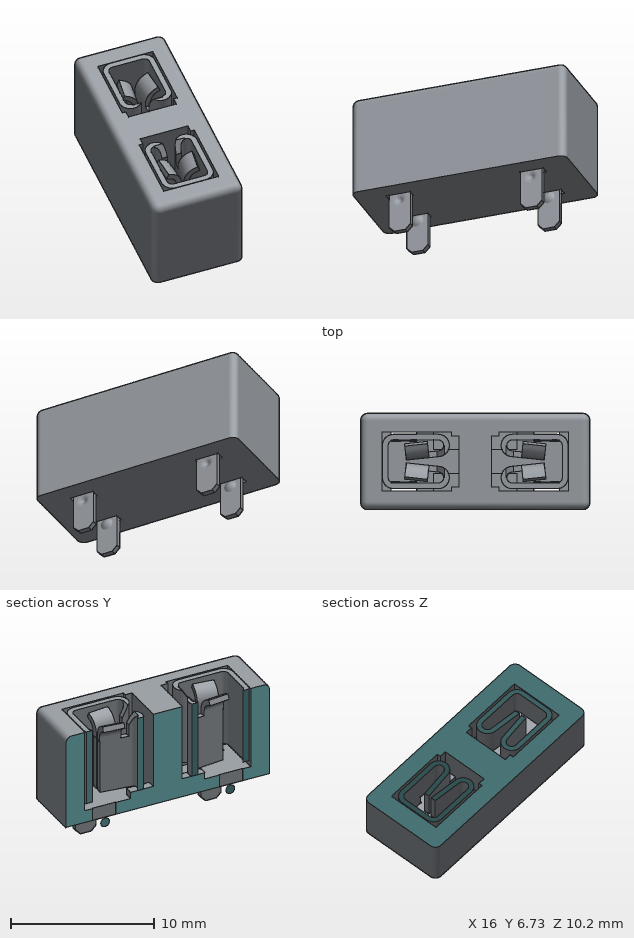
import cadquery as cq
import math


overall_height = 10.16

housing_length = 16.0
housing_width = 6.73
housing_height = 7.36
edge_radius = 0.508

cavity_back_x = -6.5
cavity_step_x = -1.67
cavity_front_x = -1.14
cavity_half_width = 2.05
cavity_front_half_width = 1.78
floor_z = 1.0

pad_back_x = -2.92
pad_inner_y = 0.845
pad_top_z = 1.5

sheet = 0.4
bend_inner_radius = 0.38
bend_outer_radius = bend_inner_radius + sheet
clip_back_x = -6.47
clip_half_width = 1.9
clip_top_z = housing_height
clip_bottom_z = pad_top_z
curl_x = -2.584
curl_y = clip_half_width - bend_outer_radius

arm_angle = math.radians(6.2)
arm_tip_x = -4.81
arm_top_z = 5.6
ramp_top_x = -2.135
ramp_bottom_x = -2.67
ramp_bottom_z = 6.5

tab_width = 1.6
tab_flare = math.radians(66)
tab_radius = 1.18
tab_flat = 0.31
tab_top_z = 7.15
tab_rise = tab_radius * math.sin(tab_flare) + tab_flat * math.cos(tab_flare)
tab_bend_z = tab_top_z - tab_rise

tail_x = -4.91
tail_width = tab_width
tail_end_z = housing_height - overall_height
tail_chamfer = 0.38
tail_slot_end_x = (-5.87, -4.085)
tail_slot_clearance = 0.08

dimple_z = -0.41
dimple_rim_radius = 0.48
dimple_depth = 0.17
dimple_dome_radius = 0.27
dimple_slope = 2 * math.atan(dimple_depth / dimple_rim_radius)


def block(x_range, y_range, z_range):
    """Axis-aligned box between pairs of coordinates."""
    return cq.Workplane("XY").box(
        x_range[1] - x_range[0],
        y_range[1] - y_range[0],
        z_range[1] - z_range[0],
        centered=False,
    ).translate((x_range[0], y_range[0], z_range[0]))


def with_y_mirror(shape):
    """Shape joined with its reflection across the XZ plane."""
    return shape.union(shape.mirror("XZ"))


def make_cavity():
    """Stepped pocket with corner pads and the two tail slots, as a solid to cut away."""
    z_range = (floor_z, housing_height)
    cavity = block(
        (cavity_back_x, cavity_step_x), (-cavity_half_width, cavity_half_width), z_range
    ).union(
        block(
            (cavity_back_x, cavity_front_x),
            (-cavity_front_half_width, cavity_front_half_width),
            z_range,
        )
    )
    pad = block(
        (pad_back_x, cavity_front_x), (pad_inner_y, cavity_half_width), (floor_z, pad_top_z)
    )
    slot = block(
        tail_slot_end_x,
        (clip_half_width - sheet - tail_slot_clearance, cavity_half_width),
        (0, floor_z),
    )
    return cavity.cut(with_y_mirror(pad)).union(with_y_mirror(slot))


def make_housing():
    body = cq.Workplane("XY").box(
        housing_length, housing_width, housing_height, centered=(True, True, False)
    )
    body = body.edges("|Z or >Z").fillet(edge_radius)
    cavity = make_cavity()
    return body.cut(cavity).cut(cavity.mirror("YZ"))


def curl_point(radius, angle):
    """Point on a circle about the curl's axis."""
    return (curl_x + radius * math.cos(angle), curl_y + radius * math.sin(angle))


def arm_end(radius):
    """Point at the arm's tip on the face that continues the curl of this radius."""
    start = curl_point(radius, arm_angle - math.pi / 2)
    return (arm_tip_x, start[1] - (start[0] - arm_tip_x) * math.tan(arm_angle))


def make_strip():
    """Half of the bent sheet, from the middle of the back wall to the arm's tip."""
    curl_stop = arm_angle - math.pi / 2
    corner_x = clip_back_x + bend_outer_radius
    diagonal = math.sqrt(0.5)
    outer_mid = (corner_x - bend_outer_radius * diagonal, curl_y + bend_outer_radius * diagonal)
    inner_mid = (corner_x - bend_inner_radius * diagonal, curl_y + bend_inner_radius * diagonal)
    return (
        cq.Workplane("XY")
        .workplane(offset=clip_bottom_z)
        .moveTo(clip_back_x, 0)
        .lineTo(clip_back_x, curl_y)
        .threePointArc(outer_mid, (corner_x, clip_half_width))
        .lineTo(curl_x, clip_half_width)
        .threePointArc(
            curl_point(bend_outer_radius, 0), curl_point(bend_outer_radius, curl_stop)
        )
        .lineTo(*arm_end(bend_outer_radius))
        .lineTo(*arm_end(bend_inner_radius))
        .lineTo(*curl_point(bend_inner_radius, curl_stop))
        .threePointArc(
            curl_point(bend_inner_radius, 0),
            curl_point(bend_inner_radius, math.pi / 2),
        )
        .lineTo(corner_x, clip_half_width - sheet)
        .threePointArc(inner_mid, (clip_back_x + sheet, curl_y))
        .lineTo(clip_back_x + sheet, 0)
        .close()
        .extrude(clip_top_z - clip_bottom_z)
    )


def make_arm_relief():
    """Space above the arm: a ramp down from the curl, a step, then level to the arm's tip."""
    clear_x = arm_tip_x - sheet
    return (
        cq.Workplane("XZ")
        .polyline([
            (ramp_top_x, clip_top_z),
            (ramp_bottom_x, ramp_bottom_z),
            (ramp_bottom_x, arm_top_z),
            (clear_x, arm_top_z),
            (clear_x, clip_top_z),
        ])
        .close()
        .extrude(-curl_y)
    )


def tab_plane():
    """Plane across the arm at its tip: local x points outward, local y up."""
    tip_x, tip_y = arm_end(bend_outer_radius)
    return cq.Plane(
        origin=(tip_x, tip_y, 0),
        xDir=(-math.sin(arm_angle), math.cos(arm_angle), 0),
        normal=(math.cos(arm_angle), math.sin(arm_angle), 0),
    )


def tab_arc_point(radius, angle):
    """Point on the tab's bend, at the given turn from vertical."""
    return (tab_radius - radius * math.cos(angle), tab_bend_z + radius * math.sin(angle))


def make_tab():
    """Tab that rises from the arm, curves outward and ends in a short flat."""
    inner_radius = tab_radius - sheet
    run = tab_flat * math.sin(tab_flare)
    rise = tab_flat * math.cos(tab_flare)
    face_end = tab_arc_point(tab_radius, tab_flare)
    back_end = tab_arc_point(inner_radius, tab_flare)
    return (
        cq.Workplane(tab_plane())
        .moveTo(0, arm_top_z)
        .lineTo(0, tab_bend_z)
        .threePointArc(tab_arc_point(tab_radius, tab_flare / 2), face_end)
        .lineTo(face_end[0] + run, face_end[1] + rise)
        .lineTo(back_end[0] + run, back_end[1] + rise)
        .lineTo(*back_end)
        .threePointArc(tab_arc_point(inner_radius, tab_flare / 2), (sheet, tab_bend_z))
        .lineTo(sheet, arm_top_z)
        .close()
        .extrude(tab_width)
    )


def dimple_plug(face_y, dome_radius):
    """Round plug that swells inward from a sheet face, with a dome of the given radius."""
    rim_bend = dimple_rim_radius / math.sin(dimple_slope) - dome_radius

    def rim_point(angle):
        return (
            dimple_rim_radius - rim_bend * math.sin(angle),
            -rim_bend * (1 - math.cos(angle)),
        )

    def dome_point(angle):
        return (
            dome_radius * math.sin(angle),
            dome_radius * (1 - math.cos(angle)) - dimple_depth,
        )

    return (
        cq.Workplane("XY", origin=(tail_x, face_y, dimple_z))
        .lineTo(dimple_rim_radius, 0)
        .threePointArc(rim_point(dimple_slope / 2), dome_point(dimple_slope))
        .threePointArc(dome_point(dimple_slope / 2), (0, -dimple_depth))
        .close()
        .revolve(360, (0, 0, 0), (0, 1, 0))
    )


def make_tail():
    """Solder tail with a chamfered end and a pressed dimple."""
    inner_y = clip_half_width - sheet
    tail = block(
        (tail_x - tail_width / 2, tail_x + tail_width / 2),
        (inner_y, clip_half_width),
        (tail_end_z, clip_bottom_z),
    )
    tail = tail.edges("|Y and <Z").chamfer(tail_chamfer)
    bump = dimple_plug(inner_y, dimple_dome_radius + sheet)
    recess = dimple_plug(clip_half_width, dimple_dome_radius)
    return tail.union(bump).cut(recess)


def make_clip():
    half = make_strip().cut(make_arm_relief())
    half = half.union(make_tab()).union(make_tail())
    return with_y_mirror(half)


housing = make_housing()
clip = make_clip()
clips = [clip, clip.mirror("YZ")]

result = cq.Compound.makeCompound([housing.solids().val(), *[one.solids().val() for one in clips]])